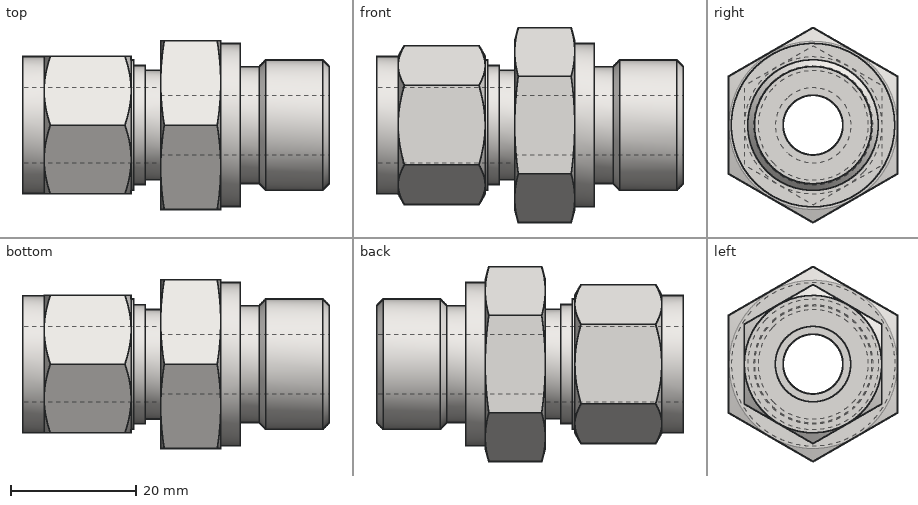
import cadquery as cq
import math


nut_hex_start = 3.45
nut_hex_end = 17.35
nut_end = 17.8
ferrule_end = 19.6
body_hex_start = 22.05
body_hex_end = 31.65
flange_end = 34.8
relief_end = 37.8
total_length = 49.0

nut_across_flats = 22.0
nut_collar_diameter = 21.95
nut_rim_diameter = 20.85
nut_chamfer_angle = 30.0
body_across_flats = 27.0
body_face_diameter = 26.9
body_chamfer_angle = 15.0

ferrule_diameter = 19.05
neck_diameter = 17.55
flange_diameter = 26.1
relief_diameter = 18.7
thread_diameter = 20.85

tube_socket_diameter = 12.05
tube_socket_depth = body_hex_start
bore_diameter = 9.5


def cylinder(start, end, diameter):
    """Solid cylinder on the X axis between two stations."""
    return cq.Workplane("YZ", origin=(start, 0, 0)).circle(diameter / 2).extrude(end - start)


def chamfered_hex(start, end, across_flats, face_diameter, chamfer_angle):
    """Hexagonal prism with corners up and down, both ends turned to cones of the given face diameter."""
    corner_radius = across_flats / math.sqrt(3)
    face_radius = face_diameter / 2
    chamfer_length = (corner_radius - face_radius) * math.tan(math.radians(chamfer_angle))
    prism = (
        cq.Workplane("YZ", origin=(start, 0, 0))
        .polygon(6, 2 * corner_radius)
        .extrude(end - start)
        .rotate((0, 0, 0), (1, 0, 0), 90)
    )
    envelope = (
        cq.Workplane("XY")
        .moveTo(start, 0)
        .lineTo(start, face_radius)
        .lineTo(start + chamfer_length, corner_radius)
        .lineTo(end - chamfer_length, corner_radius)
        .lineTo(end, face_radius)
        .lineTo(end, 0)
        .close()
        .revolve(360, (0, 0, 0), (1, 0, 0))
    )
    return prism.intersect(envelope)


nut_collar = cylinder(0, nut_hex_start, nut_collar_diameter)
nut_hex = chamfered_hex(nut_hex_start, nut_hex_end, nut_across_flats, nut_collar_diameter, nut_chamfer_angle)
nut_rim = cylinder(nut_hex_end, nut_end, nut_rim_diameter)

ferrule = cylinder(nut_end, ferrule_end, ferrule_diameter)
neck = cylinder(ferrule_end, body_hex_start, neck_diameter)
body_hex = chamfered_hex(
    body_hex_start, body_hex_end, body_across_flats, body_face_diameter, body_chamfer_angle
)
flange = cylinder(body_hex_end, flange_end, flange_diameter)
relief = cylinder(flange_end, relief_end, relief_diameter)

thread_chamfer = (thread_diameter - relief_diameter) / 2
thread = cylinder(relief_end, total_length, thread_diameter).edges().chamfer(thread_chamfer)

tube_socket = cylinder(0, tube_socket_depth, tube_socket_diameter)
bore = cylinder(0, total_length, bore_diameter)

result = nut_collar
for section in (nut_hex, nut_rim, ferrule, neck, body_hex, flange, relief, thread):
    result = result.union(section)
result = result.cut(tube_socket).cut(bore)